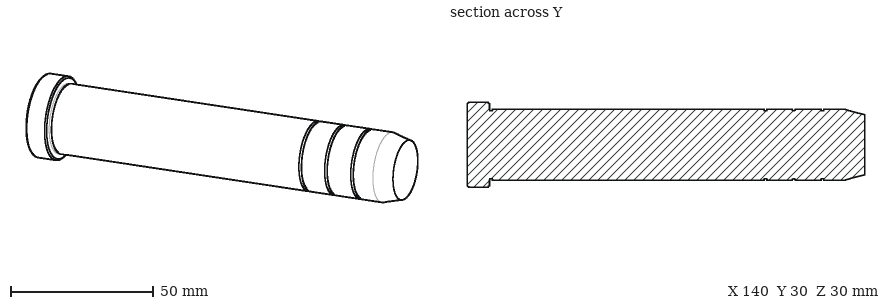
import cadquery as cq
import math

length = 140.0
head_diameter = 30.0
head_length = 8.0
head_chamfer = 0.5
shank_diameter = 25.0

taper_length = 7.0
taper_angle = 15.0

groove_width = 1.0
groove_depth = groove_width / 2
groove_centers = (105.0, 115.0, 125.0)

start_x = -length / 2
shank_radius = shank_diameter / 2


def cylinder(diameter, height):
    """Solid cylinder along X, starting at the head face."""
    return cq.Workplane("YZ", origin=(start_x, 0, 0)).circle(diameter / 2).extrude(height)


def ring_groove(center):
    """Ring with a half-round bottom, to be cut into the shank."""
    x = start_x + center
    outside = shank_radius + groove_depth
    return (
        cq.Workplane("XY")
        .moveTo(x - groove_width / 2, outside)
        .lineTo(x - groove_width / 2, shank_radius)
        .threePointArc((x, shank_radius - groove_depth), (x + groove_width / 2, shank_radius))
        .lineTo(x + groove_width / 2, outside)
        .close()
        .revolve(360, (0, 0, 0), (1, 0, 0))
    )


def make_shank():
    taper_depth = taper_length * math.tan(math.radians(taper_angle))
    return cylinder(shank_diameter, length).faces(">X").chamfer(taper_length, taper_depth)


shank = make_shank()

relief_center = head_length + groove_width / 2
for groove_center in (relief_center, *groove_centers):
    shank = shank.cut(ring_groove(groove_center))

head = cylinder(head_diameter, head_length).edges().chamfer(head_chamfer)
result = shank.union(head)